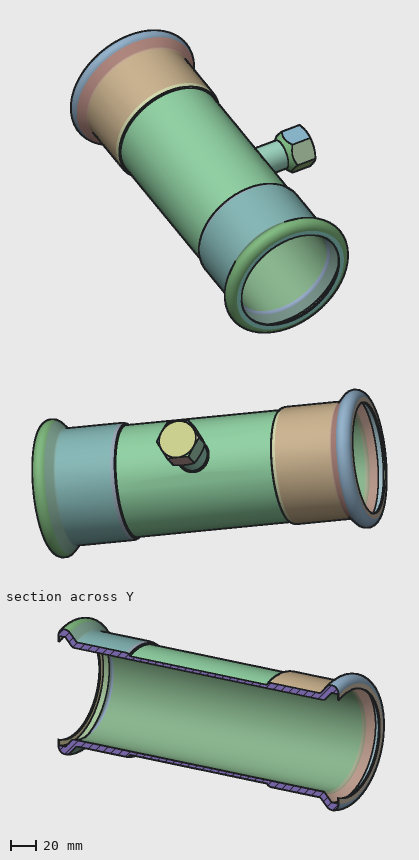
import cadquery as cq
import math

length = 262.0
half_length = length / 2
bore_radius = 41.5
tube_radius = 88.8 / 2
socket_radius = 93.0 / 2

height = 109.5
bead_section_radius = 6.5
bead_center_radius = height / 2 - bead_section_radius
neck_blend_radius = 2.4

socket_length = 63.5
shoulder_length = 3.1
shoulder_drop = 1.0
step_length = 4.0

lip_radius = 44.0
lip_length = 1.3
groove_radius = 48.2
groove_end = 6.8
bore_start = 15.2
bore_blend_radius = 4.2

branch_end = 141.7 - height / 2
stem_radius = 23.8 / 2
weld_size = 1.0
hex_flats = 30.0
hex_corner_radius = hex_flats / math.sqrt(3)
hex_straight_length = 17.0
end_chamfer_length = 1.0

cos45 = math.cos(math.pi / 4)
sin22 = math.sin(math.pi / 8)
cos22 = math.cos(math.pi / 8)


def revolve_about_x(profile):
    return profile.close().revolve(360, (0, 0, 0), (1, 0, 0))


def half_body():
    """Solid outer shape of the -X half."""
    bead_x = bead_section_radius - half_length
    bead_diagonal = bead_section_radius * cos45
    neck_start = (bead_x + bead_diagonal, bead_center_radius + bead_diagonal)
    blend_end_radius = socket_radius + neck_blend_radius * (1 - cos45)
    neck_end_x = neck_start[0] + neck_start[1] - blend_end_radius
    socket_start = neck_end_x + neck_blend_radius * cos45
    blend_center_radius = socket_radius + neck_blend_radius
    socket_end = socket_length - half_length
    profile = (
        cq.Workplane("XY")
        .moveTo(-half_length, 0)
        .lineTo(-half_length, bead_center_radius)
        .threePointArc(
            (bead_x, bead_center_radius + bead_section_radius),
            neck_start,
        )
        .lineTo(neck_end_x, blend_end_radius)
        .threePointArc(
            (socket_start - neck_blend_radius * sin22, blend_center_radius - neck_blend_radius * cos22),
            (socket_start, socket_radius),
        )
        .lineTo(socket_end, socket_radius)
        .tangentArcPoint((shoulder_length, -shoulder_drop))
        .lineTo(socket_end + step_length, tube_radius)
        .lineTo(0, tube_radius)
        .lineTo(0, 0)
    )
    return revolve_about_x(profile)


def half_cavity():
    """Mouth recess and bore of the -X half."""
    cone_end_radius = bore_radius + bore_blend_radius * (1 - cos45)
    cone_end = bore_start - bore_blend_radius * cos45
    blend_mid = (
        bore_start - half_length - bore_blend_radius * sin22,
        bore_radius + bore_blend_radius * (1 - cos22),
    )
    profile = (
        cq.Workplane("XY")
        .moveTo(-half_length, 0)
        .lineTo(-half_length, lip_radius)
        .lineTo(lip_length - half_length, lip_radius)
        .lineTo(lip_length - half_length, groove_radius)
        .lineTo(groove_end - half_length, groove_radius)
        .lineTo(cone_end - half_length, cone_end_radius)
        .threePointArc(blend_mid, (bore_start - half_length, bore_radius))
        .lineTo(0, bore_radius)
        .lineTo(0, 0)
    )
    return revolve_about_x(profile)


def both_halves(half):
    return half.union(half.mirror("YZ"))


def hex_head():
    """Hexagon with corners along X, trimmed by a cone at each end."""
    cone_start = branch_end - hex_straight_length
    cone_base = cone_start - (hex_corner_radius - stem_radius)
    prism = (
        cq.Workplane("XZ", origin=(0, branch_end, 0))
        .polygon(6, 2 * hex_corner_radius)
        .extrude(branch_end - cone_base)
    )
    envelope = (
        cq.Workplane("XY")
        .moveTo(0, cone_base)
        .lineTo(stem_radius, cone_base)
        .lineTo(hex_corner_radius, cone_start)
        .lineTo(hex_corner_radius, branch_end - end_chamfer_length)
        .lineTo(hex_flats / 2, branch_end)
        .lineTo(0, branch_end)
        .close()
        .revolve(360, (0, 0, 0), (0, 1, 0))
    )
    return prism.intersect(envelope)


def stem():
    return cq.Workplane("XZ", origin=(0, branch_end, 0)).circle(stem_radius).extrude(branch_end)


body = both_halves(half_body()).union(stem())
weld_reach = 2.5
weld_zone = cq.selectors.BoxSelector(
    (-stem_radius, tube_radius - weld_reach, -stem_radius),
    (stem_radius, tube_radius + weld_reach, stem_radius),
)
body = body.edges(weld_zone).chamfer(weld_size)

result = body.union(hex_head()).cut(both_halves(half_cavity()))